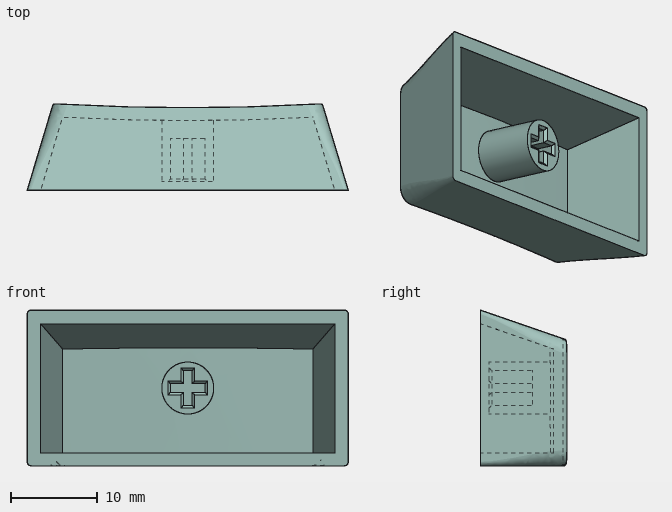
import cadquery as cq
import math

BASE_WIDTH = 37.08
BASE_HEIGHT = 18.0
CAP_DEPTH = 10.0
SIDE_LEAN = 3.0
TOP_LEAN = 3.45
WALL = 1.5

BASE_CORNER_RADIUS = 0.5
FACE_CORNER_RADIUS = 1.8
CORNER_STEPS = 8
FACE_EDGE_RADIUS = 0.35

DISH_SAG = 0.45

STEM_DIAMETER = 6.0
STEM_RECESS = 1.0
CROSS_LENGTH = 4.0
CROSS_ARM = 1.0
CROSS_DEPTH = 5.0
CROSS_CHAMFER = 0.3

FACE_HALF_WIDTH = BASE_WIDTH / 2 - SIDE_LEAN
DISH_RADIUS = (FACE_HALF_WIDTH**2 + DISH_SAG**2) / (2 * DISH_SAG)


def plane_at(y):
    """Workplane across the cap at depth y, with local x along X and local y along Z."""
    return cq.Workplane(cq.Plane(origin=(0, y, 0), xDir=(1, 0, 0), normal=(0, -1, 0)))


def tapered_block(inset):
    """Block with both X sides and the +Z side leaning inward, inset square to the outer sides."""
    side_inset = inset * math.hypot(1, SIDE_LEAN / CAP_DEPTH)
    top_inset = inset * math.hypot(1, TOP_LEAN / CAP_DEPTH)
    width = BASE_WIDTH - 2 * side_inset
    height = BASE_HEIGHT - top_inset - inset
    return (
        plane_at(0)
        .center(0, (inset - top_inset) / 2)
        .rect(width, height)
        .workplane(offset=-CAP_DEPTH)
        .center(0, -TOP_LEAN / 2)
        .rect(width - 2 * SIDE_LEAN, height - TOP_LEAN)
        .loft(ruled=True, combine=True)
    )


def dish_cylinder(extra_radius):
    """Cylinder along Z on the dish axis, large enough to span the whole cap height."""
    axis_y = CAP_DEPTH - DISH_SAG + DISH_RADIUS
    return (
        cq.Workplane("XY")
        .workplane(offset=-BASE_HEIGHT)
        .center(0, axis_y)
        .circle(DISH_RADIUS + extra_radius)
        .extrude(2 * BASE_HEIGHT)
    )


def corner_radius(rise):
    """Corner radius at a fraction of the way from rim to face, easing in and out at both ends."""
    blend = rise**2 * (3 - 2 * rise)
    return BASE_CORNER_RADIUS + (FACE_CORNER_RADIUS - BASE_CORNER_RADIUS) * blend


def round_corners(block):
    """Round the four leaning corners with a radius that grows from the rim to the face."""
    shapes = cq.occ_impl.shapes
    maker = shapes.BRepFilletAPI_MakeFillet(block.val().wrapped)
    for edge in block.edges("not(|X or |Z)").vals():
        starts_at_rim = edge.startPoint().y < edge.endPoint().y
        stations = shapes.TColgp_HArray1OfPnt2d(0, CORNER_STEPS)
        for step in range(CORNER_STEPS + 1):
            along = step / CORNER_STEPS
            rise = along if starts_at_rim else 1 - along
            stations.SetValue(step, shapes.gp_Pnt2d(along, corner_radius(rise)))
        maker.Add(stations.Array1(), edge.wrapped)
    return cq.Workplane(cq.Shape.cast(maker.Shape()))


def make_shell():
    """Rounded cap with a dished face, hollowed to an even wall from the open side."""
    body = round_corners(tapered_block(0)).cut(dish_cylinder(0))
    body = body.faces(">Y").edges().fillet(FACE_EDGE_RADIUS)
    cavity = tapered_block(WALL).cut(dish_cylinder(WALL))
    return body.cut(cavity)


def cross_bar(width, height):
    """One straight bar of the cross, widened by a bevel at its mouth."""
    bar = plane_at(STEM_RECESS).rect(width, height).extrude(-CROSS_DEPTH)
    bevel = (
        plane_at(STEM_RECESS)
        .rect(width + 2 * CROSS_CHAMFER, height + 2 * CROSS_CHAMFER)
        .workplane(offset=-CROSS_CHAMFER)
        .rect(width, height)
        .loft(ruled=True, combine=True)
    )
    return bar.union(bevel)


def make_stem():
    """Round stem with a cross-shaped socket; its root ends halfway through the ceiling."""
    root_y = CAP_DEPTH - DISH_SAG - WALL / 2
    stem = plane_at(STEM_RECESS).circle(STEM_DIAMETER / 2).extrude(STEM_RECESS - root_y)
    for width, height in ((CROSS_LENGTH, CROSS_ARM), (CROSS_ARM, CROSS_LENGTH)):
        stem = stem.cut(cross_bar(width, height))
    return stem


result = make_shell().union(make_stem())